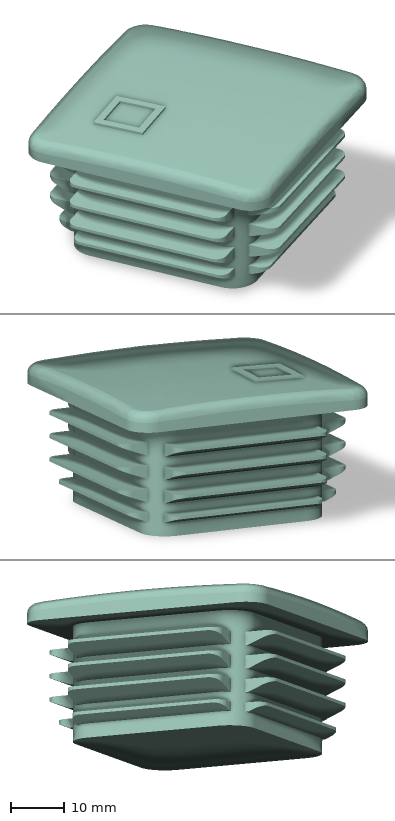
import cadquery as cq


cap_width = 50.0
cap_corner_radius = 4.5
cap_base_z = 22.0
dome_top_z = 27.1
dome_radius = 380.0
cap_edge_fillet = 1.9

body_width = 37.5
body_corner_radius = 5.1

rib_length = 32.2
rib_pitch = 4.5
rib_tip_thickness = 0.6
rib_slope = 0.38
rib_corner_radius = 2.1
wide_rib_width = 47.6
narrow_rib_width = 43.7
rib_widths = [narrow_rib_width, wide_rib_width, wide_rib_width, wide_rib_width]

mark_width = 10.2
mark_line_width = 1.4
mark_center_x = -9.4
mark_center_y = -10.0
mark_height = 0.45


def rounded_block(width, corner_radius, base_z, height):
    """Square block with rounded vertical edges, standing on base_z."""
    block = cq.Workplane("XY").workplane(offset=base_z).rect(width, width).extrude(height)
    return block.edges("|Z").fillet(corner_radius)


def dome_ball(top_z):
    """Large ball whose highest point is at top_z, used to trim shallow domed tops."""
    return cq.Workplane("XY").sphere(dome_radius).translate((0, 0, top_z - dome_radius))


def make_cap():
    """Plate trimmed by a shallow spherical dome, with its upper rim rounded."""
    plate = rounded_block(cap_width, cap_corner_radius, cap_base_z, dome_top_z - cap_base_z)
    return plate.intersect(dome_ball(dome_top_z)).faces(">Z").edges().fillet(cap_edge_fillet)


def make_rib(width, top_z):
    """Rib on the +X side: flat on top, tapering underneath from the body face to a thin tip."""
    tip_x = width / 2
    face_x = body_width / 2
    root_x = face_x - body_corner_radius
    tip_bottom_z = top_z - rib_tip_thickness
    root_bottom_z = tip_bottom_z - rib_slope * (tip_x - face_x)
    profile = [
        (root_x, top_z),
        (tip_x, top_z),
        (tip_x, tip_bottom_z),
        (face_x, root_bottom_z),
        (root_x, root_bottom_z),
    ]
    rib = cq.Workplane("XZ").polyline(profile).close().extrude(rib_length / 2, both=True)
    return rib.edges("|Z and >X").fillet(rib_corner_radius)


def make_size_mark():
    """Square frame whose top follows the dome at mark_height above it."""
    opening_width = mark_width - 2 * mark_line_width
    frame = cq.Workplane("XY").workplane(offset=cap_base_z).center(mark_center_x, mark_center_y)
    frame = frame.rect(mark_width, mark_width).rect(opening_width, opening_width)
    mark_top_z = dome_top_z + mark_height
    return frame.extrude(mark_top_z - cap_base_z).intersect(dome_ball(mark_top_z))


body = rounded_block(body_width, body_corner_radius, 0, cap_base_z)
result = body.union(make_cap()).union(make_size_mark())

for level, rib_width in enumerate(rib_widths, start=1):
    rib = make_rib(rib_width, level * rib_pitch)
    for side in range(4):
        result = result.union(rib.rotate((0, 0, 0), (0, 0, 1), 90 * side))